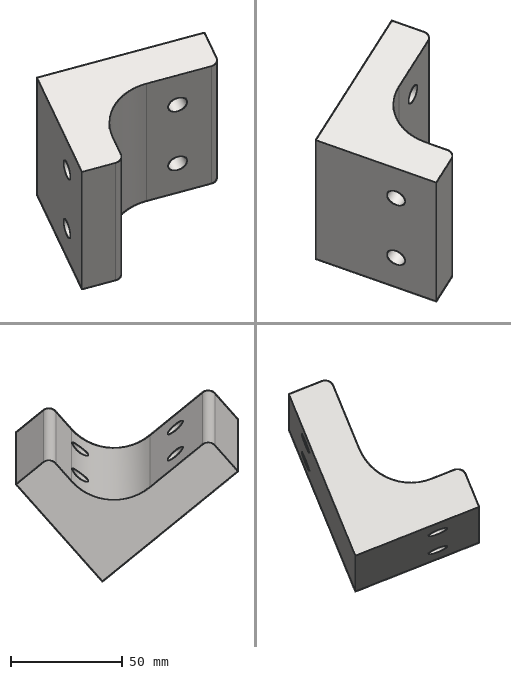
import cadquery as cq

WIDTH = 60.0
DEPTH = 80.0
HEIGHT = 80.0
THICKNESS = 20.0

INNER_RADIUS = 25.0
TIP_RADIUS = 4.0

HOLE_DIAMETER = 9.0
HOLE_END_OFFSET = 20.0
HOLE_HEIGHTS = (HEIGHT / 4, HEIGHT * 3 / 4)


def make_body():
    """L-shaped prism with its outer corner at the origin."""
    body = (
        cq.Workplane("XY")
        .polyline([
            (0, 0),
            (WIDTH, 0),
            (WIDTH, THICKNESS),
            (THICKNESS, THICKNESS),
            (THICKNESS, DEPTH),
            (0, DEPTH),
        ])
        .close()
        .extrude(HEIGHT)
    )
    mid_height = HEIGHT / 2
    inner_corner = cq.selectors.NearestToPointSelector((THICKNESS, THICKNESS, mid_height))
    short_leg_tip = cq.selectors.NearestToPointSelector((WIDTH, THICKNESS, mid_height))
    long_leg_tip = cq.selectors.NearestToPointSelector((THICKNESS, DEPTH, mid_height))
    body = body.edges(inner_corner).fillet(INNER_RADIUS)
    for tip in (short_leg_tip, long_leg_tip):
        body = body.edges(tip).fillet(TIP_RADIUS)
    return body


def drill(start, direction, length):
    """Cylinder that cuts one hole."""
    return cq.Solid.makeCylinder(
        HOLE_DIAMETER / 2, length, cq.Vector(*start), cq.Vector(*direction)
    )


result = make_body()
for z in HOLE_HEIGHTS:
    result = result.cut(drill((WIDTH - HOLE_END_OFFSET, 0, z), (0, 1, 0), DEPTH))
    result = result.cut(drill((0, DEPTH - HOLE_END_OFFSET, z), (1, 0, 0), WIDTH))